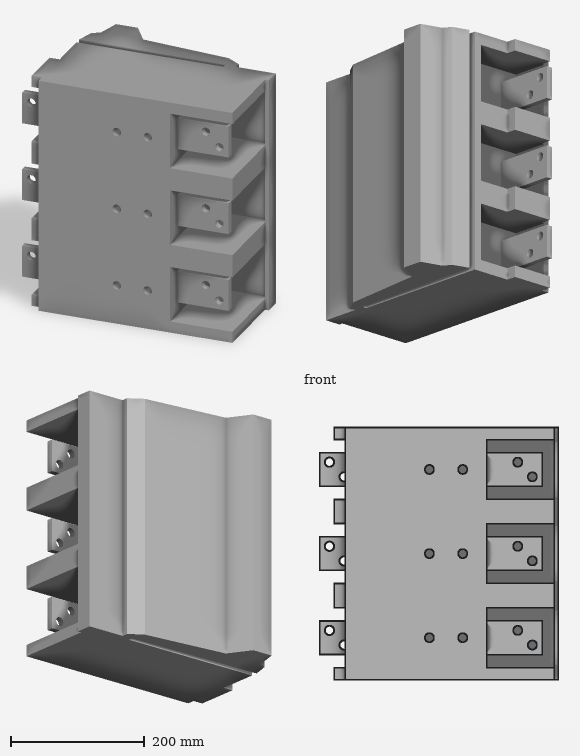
import cadquery as cq

HEIGHT = 378.0
LENGTH = 357.5
DEPTH = 234.7
POLES = 3
POLE_PITCH = HEIGHT / POLES

BODY_LEFT = 38.0
BODY_RIGHT = 351.0
SLOT_FLOOR_Y = 151.2
FLANGE_BACK_Y = 157.5
FLANGE_FRONT_Y = 130.0

SLOT_END_X = 275.5
SLOT_ROOF_LEFT_Y = 162.0
SLOT_ROOF_RIGHT_Y = 158.5
COVER_RIGHT = 293.7
COVER_RIGHT_Y = 168.2
COVER_BEVEL_X = 271.5
COVER_BEVEL_Y = 183.0
HANDLE_ROOT_Y = 198.0
HANDLE_ROOT_LEFT = 59.0
HANDLE_ROOT_RIGHT = 127.0
HANDLE_TIP_LEFT = 68.5
HANDLE_TIP_RIGHT = 104.0
COVER_SHOULDER_X = 46.0
COVER_SHOULDER_Y = 190.5

BARRIER_LEFT = 21.5
BARRIER_FRONT_Y = 13.0
BARRIER_BACK_Y = 84.3

POCKET_HEIGHT = 89.5
POCKET_BACK_Y = 138.5
LEFT_POCKET_FRONT_Y = 9.0
LEFT_POCKET_END_X = 100.0
RIGHT_POCKET_START_X = 250.5

TERMINAL_HEIGHT = 50.5
TERMINAL_FRONT_Y = 28.7
TERMINAL_BACK_Y = 39.5
RIGHT_TERMINAL_END = 333.5
HOLE_DIAMETER = 13.5
HOLE_INSET = 14.7
HOLE_SPACING_X = 22.0
HOLE_OFFSET_Z = 11.0

MOUNT_HOLE_XS = (164.5, 214.5)
MOUNT_HOLE_DEPTH = 37.8


def block(x_min, x_max, y_min, y_max, height, z_mid=0.0):
    """Box given by its X and Y limits, its Z height and its Z centre."""
    size = (x_max - x_min, y_max - y_min, height)
    centre = ((x_min + x_max) / 2, (y_min + y_max) / 2, z_mid)
    return cq.Workplane("XY").box(*size).translate(centre)


def hole_along_y(x, z, y_start, depth):
    """Round cutter that starts at y_start and runs toward +Y."""
    circle = cq.Workplane("XZ", origin=(x, y_start, z)).circle(HOLE_DIAMETER / 2)
    return circle.extrude(-depth)


def body_and_cover():
    """Profile of the body, flange, slot and handle cover, extruded over the full height."""
    outline = [
        (BODY_LEFT, 0),
        (BODY_RIGHT, 0),
        (BODY_RIGHT, FLANGE_FRONT_Y),
        (LENGTH, FLANGE_FRONT_Y),
        (LENGTH, FLANGE_BACK_Y),
        (COVER_RIGHT, FLANGE_BACK_Y),
        (COVER_RIGHT, COVER_RIGHT_Y),
        (COVER_BEVEL_X, COVER_BEVEL_Y),
        (HANDLE_ROOT_RIGHT, HANDLE_ROOT_Y),
        (HANDLE_TIP_RIGHT, DEPTH),
        (HANDLE_TIP_LEFT, DEPTH),
        (HANDLE_ROOT_LEFT, HANDLE_ROOT_Y),
        (COVER_SHOULDER_X, COVER_SHOULDER_Y),
        (BODY_LEFT, SLOT_ROOF_LEFT_Y),
        (SLOT_END_X, SLOT_ROOF_RIGHT_Y),
        (SLOT_END_X, SLOT_FLOOR_Y),
        (BODY_LEFT, SLOT_FLOOR_Y),
    ]
    return cq.Workplane("XY").polyline(outline).close().extrude(HEIGHT / 2, both=True)


def pole_pockets(z):
    """Left pocket opens only on the left end; right pocket opens on the front and right end."""
    left = block(BARRIER_LEFT, LEFT_POCKET_END_X, LEFT_POCKET_FRONT_Y, POCKET_BACK_Y, POCKET_HEIGHT, z)
    right = block(RIGHT_POCKET_START_X, BODY_RIGHT, 0, POCKET_BACK_Y, POCKET_HEIGHT, z)
    return left.union(right)


def terminal(x_min, x_max, first_hole_x, z):
    """Flat bar with two diagonal bolt holes, the upper one on the left."""
    bar = block(x_min, x_max, TERMINAL_FRONT_Y, TERMINAL_BACK_Y, TERMINAL_HEIGHT, z)
    thickness = TERMINAL_BACK_Y - TERMINAL_FRONT_Y
    upper = hole_along_y(first_hole_x, z + HOLE_OFFSET_Z, TERMINAL_FRONT_Y, thickness)
    lower = hole_along_y(first_hole_x + HOLE_SPACING_X, z - HOLE_OFFSET_Z, TERMINAL_FRONT_Y, thickness)
    return bar.cut(upper).cut(lower)


result = body_and_cover()

result = result.union(block(BARRIER_LEFT, BODY_LEFT, BARRIER_FRONT_Y, BARRIER_BACK_Y, HEIGHT))

right_first_hole_x = RIGHT_TERMINAL_END - HOLE_INSET - HOLE_SPACING_X
for pole in range(POLES):
    pole_z = (pole - (POLES - 1) / 2) * POLE_PITCH
    result = result.cut(pole_pockets(pole_z))
    result = result.union(terminal(0, LEFT_POCKET_END_X, HOLE_INSET, pole_z))
    result = result.union(terminal(RIGHT_POCKET_START_X, RIGHT_TERMINAL_END, right_first_hole_x, pole_z))
    for hole_x in MOUNT_HOLE_XS:
        result = result.cut(hole_along_y(hole_x, pole_z, 0, MOUNT_HOLE_DEPTH))